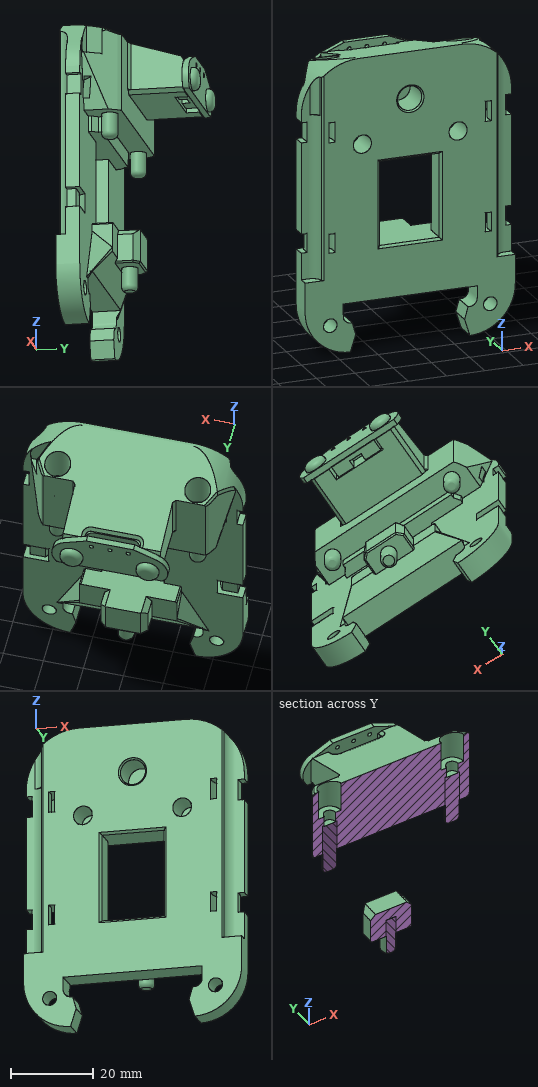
import cadquery as cq

import math

EPS = 1.0
BIG = 100.0

width = 55.0
height = 75.87
plate_thickness = 6.0
half_width = width / 2
top_corner_radius = 14.0
foot_radius = 11.9

gap_half_width = 17.5
gap_top_z = 12.67
gap_relief_radius = 2.0
hook_inner_x = 15.1
hook_relief_z = 7.57
hook_nose = (14.2, 4.4)
hook_hole_diameter = 3.5
hook_hole_x = 20.9

window_half_width = 7.8
window_bottom_z = 26.4
window_top_z = 48.2
window_chamfer = 0.6

groove_depth = 2.5
groove_bottom_z = 19.5
groove_floor_x = 25.4
groove_corner = (23.0, 0.35)
groove_mouth_x = 22.6

relief_centre = (-25.0, 0.6)
relief_radius = 1.9
relief_outer_x = -25.2
relief_inner_y = 1.0
relief_bottom_z = 62.0

tie_bands = [(26.4, 31.3), (55.0, 60.2)]
tie_floor_x = 25.95
tie_centre = (26.5, 1.5)
tie_inner_radius = 5.5
tie_outer_radius = 7.0
tie_open_y = 4.8

block_back_y = 14.9
block_bottom_z = 52.1
block_back_half_width = 20.3
block_side_corner = (21.0, 14.1)
block_root_x = 25.6
roof_start_y = 0.9
roof_slope = 0.308
flank_top = (25.6, 67.3)
flank_bottom = (22.2, 52.1)
flank_edge_chamfer = 0.5

arm_half_width = 12.2
arm_end_y = 28.72
arm_bottom_z = 58.6
arm_bottom_chamfer = 1.0
arm_tip_chamfer = 0.6
arm_tip_steepness = 2.0
arm_root_chamfer = 0.7
pocket_half_width = 6.85
pocket_floor_y = 26.05
pocket_corner_radius = 2.0
pocket_chamfer = 0.8

recess_inner = (20.5, 6.2)
recess_outer = (22.4, 10.6)
recess_floor_z = 66.0

centre_hole_diameter = 6.3
centre_hole_z = 63.6
centre_hole_depth = 8.0
centre_hole_chamfer = 0.4
side_hole_diameter = 4.7
side_hole_x = 12.5
side_hole_z = 53.5
side_hole_depth = 8.0

pad_half_width = 17.0
pad_inset = 1.1
pad_bevel_start = 0.8
pad_bevel_end = 2.3
pad_rise = 3.3

boss_half_width = 5.9
boss_back_y = 16.4
boss_top_z = window_bottom_z
boss_bottom_z = 17.9
boss_side_chamfer = 1.5
boss_top_chamfer = 1.4
boss_bottom_chamfer = 0.4
wing_half_width = 12.2
wing_top_chamfer = 0.4
wing_back_y = 11.0
wing_bottom_z = 19.0
wing_foot_z = 10.9
wing_foot_x = 19.0
wing_crease_back_z = 20.0
wing_crease_front_z = 24.4

pin_diameter = 4.0
upper_pin_x = 17.5
upper_pin_y = 11.45
upper_pin_bottom_z = 46.0
upper_pin_top_z = 61.0
upper_pin_tip = (1.0, 1.4)
lower_pin_y = 12.9
lower_pin_bottom_z = 12.1
lower_pin_top_z = 23.0
lower_pin_tip = (0.6, 1.4)
access_hole_diameter = 3.2
counterbore_diameter = 6.3
counterbore_floor_z = 64.0

board_thickness = 1.6
board_top_z = 69.1
board_bottom_z = 58.9
board_top_half_width = 5.9
board_end_radius = 5.0
board_end_start_angle = math.radians(67)
board_screw_x = 9.5
board_screw_z = 62.2
board_pin_hole_diameter = 1.0
board_pin_hole_pitch = 4.6
board_pin_hole_z = 67.2
screw_diameter = 3.0
screw_length = 8.0
screw_head_diameter = 5.7
screw_head_height = 1.65
screw_head_rim = 0.4
screw_head_flat_radius = 1.45
connector_half_width = 6.2
connector_front_y = 25.5
connector_bottom_z = 59.5
connector_top_z = 64.3
connector_slot_half_width = 1.65
connector_slot_y = 27.4
connector_clearance = 0.65


def box(x0, x1, y0, y1, z0, z1):
    return cq.Workplane("XY").box(x1 - x0, y1 - y0, z1 - z0, centered=False).translate((x0, y0, z0))


def both_sides(shape):
    """The shape together with its mirror image across X = 0."""
    return shape.union(shape.mirror("YZ"))


def prism_y(points, y0, y1):
    """Polygon of (x, z) points extruded along Y."""
    return cq.Workplane("XZ", origin=(0, y0, 0)).polyline(points).close().extrude(y0 - y1)


def prism_x(points, x0, x1):
    """Polygon of (y, z) points extruded along X."""
    return cq.Workplane("YZ", origin=(x0, 0, 0)).polyline(points).close().extrude(x1 - x0)


def prism_z(points, z0, z1):
    """Polygon of (x, y) points extruded along Z."""
    return cq.Workplane("XY", origin=(0, 0, z0)).polyline(points).close().extrude(z1 - z0)


def rod_y(x, z, diameter, y0, y1):
    return cq.Workplane("XZ", origin=(x, y0, z)).circle(diameter / 2).extrude(y0 - y1)


def rod_z(x, y, diameter, z0, z1):
    return cq.Workplane("XY", origin=(x, y, z0)).circle(diameter / 2).extrude(z1 - z0)


def mirrored_outline(right_half):
    """Closed polygon from its right half, listed from one end of the axis to the other."""
    return right_half + [(-x, other) for x, other in reversed(right_half)]


def polyhedron(faces):
    wires = [cq.Wire.makePolygon([cq.Vector(*p) for p in face], close=True) for face in faces]
    shell = cq.Shell.makeShell([cq.Face.makeFromWires(wire) for wire in wires])
    return cq.Workplane(cq.Solid.makeSolid(shell).fix())


def roof_z(y):
    return height - roof_slope * (y - roof_start_y)


def outer_outline(depth):
    """Rounded outline of plate and hooks, extruded from the front face."""
    top_x = half_width - top_corner_radius
    top_z = height - top_corner_radius
    foot_x = half_width - foot_radius
    diagonal = math.sqrt(0.5)
    top_mid = (top_x + top_corner_radius * diagonal, top_z + top_corner_radius * diagonal)
    foot_mid = (foot_x + foot_radius * diagonal, foot_radius * (1 - diagonal))
    half = (
        cq.Workplane("XZ")
        .moveTo(0, height)
        .lineTo(top_x, height)
        .threePointArc(top_mid, (half_width, top_z))
        .lineTo(half_width, foot_radius)
        .threePointArc(foot_mid, (foot_x, 0))
        .lineTo(0, 0)
        .close()
        .extrude(-depth)
    )
    return both_sides(half)


def hook_gap():
    """Opening between the hooks, with a relief beside each hook nose."""
    relief_x = gap_half_width - gap_relief_radius
    relief_mid = gap_relief_radius * math.sqrt(0.5)
    relief_top_z = hook_relief_z + gap_relief_radius
    half = (
        cq.Workplane("XZ", origin=(0, -EPS, 0))
        .moveTo(0, gap_top_z)
        .lineTo(gap_half_width, gap_top_z)
        .lineTo(gap_half_width, relief_top_z)
        .threePointArc((relief_x + relief_mid, relief_top_z - relief_mid), (relief_x, hook_relief_z))
        .lineTo(hook_inner_x, hook_relief_z)
        .lineTo(*hook_nose)
        .lineTo(half_width - foot_radius, 0)
        .lineTo(half_width - foot_radius, -EPS)
        .lineTo(0, -EPS)
        .close()
        .extrude(-BIG)
    )
    return both_sides(half)


def cable_groove():
    """Open groove at the +X edge of the front face, rounded at its inner corner."""
    radius = groove_depth - groove_corner[1]
    mid = radius * math.sqrt(0.5)
    return (
        cq.Workplane("XY", origin=(0, 0, groove_bottom_z))
        .moveTo(half_width + EPS, groove_depth)
        .lineTo(groove_floor_x, groove_depth)
        .threePointArc((groove_floor_x - mid, groove_corner[1] + mid), groove_corner)
        .lineTo(groove_mouth_x, 0)
        .lineTo(groove_mouth_x, -EPS)
        .lineTo(half_width + EPS, -EPS)
        .close()
        .extrude(BIG)
    )


def tie_channels():
    """Curved cable tie slots at +X with the notches that they wrap around."""
    cx, cy = tie_centre
    tools = None
    for z0, z1 in tie_bands:
        outer = rod_z(cx, cy, 2 * tie_outer_radius, z0, z1)
        inner = rod_z(cx, cy, 2 * tie_inner_radius, z0, z1)
        notch = box(tie_floor_x, half_width + EPS, -EPS, plate_thickness + EPS, z0, z1)
        tool = outer.cut(inner).union(notch)
        tools = tool if tools is None else tools.union(tool)
    return tools


def tie_opening():
    """Opening from the lower +X notch into its curved slot."""
    z0, z1 = tie_bands[0]
    reach = rod_z(*tie_centre, 2 * tie_outer_radius, z0, z1)
    return reach.intersect(box(0, half_width, tie_open_y, plate_thickness, z0, z1))


def groove_relief():
    """Shallow relief at the upper end of the groove on the -X side."""
    x, y = relief_centre
    relief = rod_z(x, y, 2 * relief_radius, relief_bottom_z, height)
    return relief.intersect(box(relief_outer_x, 0, relief_inner_y, BIG, 0, BIG))


def upper_block():
    """Rounded block behind the plate with slanted sides."""
    right = [
        (half_width, 0),
        (half_width, plate_thickness),
        (block_root_x, plate_thickness),
        block_side_corner,
        (block_back_half_width, block_back_y),
    ]
    plan = prism_z(mirrored_outline(right), block_bottom_z, height)
    flank_middle = (block_root_x + block_side_corner[0]) / 2
    flank_slope = (flank_top[0] - flank_bottom[0]) / (flank_top[1] - flank_bottom[1])
    flank_high = (flank_top[0] + flank_slope * EPS, flank_top[1] + EPS)
    flank_low = (flank_bottom[0] - flank_slope * EPS, flank_bottom[1] - EPS)
    under_flank = prism_y(
        [flank_high, flank_low, (half_width + EPS, flank_low[1]), (half_width + EPS, flank_high[1])],
        plate_thickness,
        block_back_y + EPS,
    )
    block = outer_outline(block_back_y).intersect(plan).cut(both_sides(under_flank)).cut(roof_cutter())
    for side in (-1, 1):
        near_flank = cq.selectors.NearestToPointSelector(
            (side * flank_middle, (plate_thickness + block_side_corner[1]) / 2, flank_top[1])
        )
        rim = cq.selectors.BoxSelector(
            (side * block_side_corner[0], plate_thickness + EPS, flank_top[1]),
            (side * block_root_x, block_back_y, height),
        )
        block = block.faces(near_flank).edges(rim).chamfer(flank_edge_chamfer)
    return block


def arm():
    """Arm with bevelled lower edges and a flared root."""
    root = block_back_y + arm_root_chamfer
    body = box(-arm_half_width, arm_half_width, 0, arm_end_y, arm_bottom_z, height)
    body = body.edges("|Y and <Z").chamfer(arm_bottom_chamfer)
    flare = prism_z(
        mirrored_outline(
            [
                (arm_half_width + arm_root_chamfer, plate_thickness),
                (arm_half_width + arm_root_chamfer, block_back_y),
                (arm_half_width, root),
            ]
        ),
        arm_bottom_z + arm_bottom_chamfer,
        height,
    )
    return body.union(flare)


def roof_cutter():
    """Space above the sloping roof, with the bevel along the end of the arm."""
    tip_y = arm_end_y - arm_tip_chamfer
    tip_z = roof_z(tip_y)
    profile = [
        (roof_start_y, height),
        (tip_y, tip_z),
        (arm_end_y + EPS, tip_z - arm_tip_steepness * (arm_tip_chamfer + EPS)),
        (arm_end_y + EPS, height + EPS),
        (roof_start_y, height + EPS),
    ]
    return prism_x(profile, -BIG, BIG)


def pocket_profile(plane, grow, scale):
    """Pocket outline in the arm end, enlarged by `grow`, with its Y sizes stretched by `scale`."""
    x1 = pocket_half_width + grow
    x0 = x1 - pocket_corner_radius
    floor = -grow * scale
    curve_end = (pocket_corner_radius - grow) * scale
    end = (arm_end_y + EPS - pocket_floor_y) * scale
    mid = pocket_corner_radius * math.sqrt(0.5)
    curve_mid = (x0 + mid, (pocket_corner_radius - grow - mid) * scale)
    return (
        plane.moveTo(-x0, floor)
        .lineTo(x0, floor)
        .threePointArc(curve_mid, (x1, curve_end))
        .lineTo(x1, end)
        .lineTo(-x1, end)
        .lineTo(-x1, curve_end)
        .threePointArc((-curve_mid[0], curve_mid[1]), (-x0, floor))
        .close()
    )


def arm_pocket():
    """Vertical pocket in the arm end with a bevelled upper rim and room for the connector."""
    upright = cq.Workplane("XY", origin=(0, pocket_floor_y, arm_bottom_z - EPS))
    pocket = pocket_profile(upright, 0, 1).extrude(BIG)
    stretch = math.hypot(1, roof_slope)
    rim_plane = cq.Plane(
        origin=(0, pocket_floor_y, roof_z(pocket_floor_y)),
        xDir=(1, 0, 0),
        normal=(0, roof_slope, 1),
    )
    rim = pocket_profile(cq.Workplane(rim_plane), pocket_chamfer, stretch).extrude(-pocket_chamfer, taper=45)
    room = box(
        -pocket_half_width,
        pocket_half_width,
        connector_front_y,
        arm_end_y + EPS,
        arm_bottom_z - EPS,
        connector_top_z + connector_clearance,
    )
    return pocket.union(rim).union(room)


def corner_recess():
    """Flat-floored recess open to the roof and to the +X flank."""
    x_out = half_width + EPS
    profile = [recess_inner, recess_outer, (x_out, recess_outer[1]), (x_out, recess_inner[1])]
    return prism_z(profile, recess_floor_z, height)


def rear_pad():
    """Bevelled pad behind the side holes, reaching down to the window."""
    inner_x = pad_half_width - pad_inset
    right = [
        (pad_half_width, 0),
        (pad_half_width, plate_thickness + pad_bevel_start),
        (inner_x, plate_thickness + pad_bevel_end),
        (inner_x, plate_thickness + pad_rise),
    ]
    return prism_z(mirrored_outline(right), window_top_z, block_bottom_z)


def lower_boss():
    """Middle of the lower block, around the lower pin."""
    boss = box(-boss_half_width, boss_half_width, 0, boss_back_y, boss_bottom_z, boss_top_z)
    boss = boss.edges("|Y and >Z").chamfer(boss_top_chamfer)
    boss = boss.edges("|Z and >Y").chamfer(boss_side_chamfer)
    return boss.faces("<Z").edges().chamfer(boss_bottom_chamfer)


def lower_wings():
    """Wings beside the boss: a straight middle and a gusset spreading to each hook."""
    front = plate_thickness
    x0 = wing_half_width
    middle = prism_x(
        [
            (0, boss_top_z),
            (wing_back_y, boss_top_z),
            (wing_back_y, wing_bottom_z),
            (front, wing_foot_z),
            (0, wing_foot_z),
        ],
        -x0,
        x0,
    )
    middle = middle.edges("|Y and >Z").chamfer(wing_top_chamfer)
    crease_back = (x0, wing_back_y, wing_crease_back_z)
    crease_front = (x0, front, wing_crease_front_z)
    foot_out = (wing_foot_x, front, wing_foot_z)
    bottom_back = (x0, wing_back_y, wing_bottom_z)
    foot_in = (x0, front, wing_foot_z)
    gusset = polyhedron(
        [
            [crease_back, crease_front, foot_out],
            [crease_back, foot_out, bottom_back],
            [bottom_back, foot_out, foot_in],
            [crease_front, foot_in, foot_out],
            [crease_front, crease_back, bottom_back, foot_in],
        ]
    )
    return middle.union(both_sides(gusset))


def window():
    return box(
        -window_half_width,
        window_half_width,
        -EPS,
        plate_thickness + EPS,
        window_bottom_z,
        window_top_z,
    )


def window_bevel():
    """Bevel around the front edge of the window."""
    grown = 2 * window_chamfer
    return (
        cq.Workplane("XZ", origin=(0, 0, (window_bottom_z + window_top_z) / 2))
        .rect(2 * window_half_width + grown, window_top_z - window_bottom_z + grown)
        .extrude(-window_chamfer, taper=45)
    )


def front_holes():
    """Blind holes in the front face; the middle one has a countersunk edge."""
    middle = rod_y(0, centre_hole_z, centre_hole_diameter, -EPS, centre_hole_depth)
    bevel = (
        cq.Workplane("XZ", origin=(0, 0, centre_hole_z))
        .circle(centre_hole_diameter / 2 + centre_hole_chamfer)
        .extrude(-centre_hole_chamfer, taper=45)
    )
    side = rod_y(side_hole_x, side_hole_z, side_hole_diameter, -EPS, side_hole_depth)
    return middle.union(bevel).union(both_sides(side))


def upper_pin_bore():
    """Blind bore for the +X upper pin, with an access hole and counterbore above it."""
    x, y = upper_pin_x, upper_pin_y
    bore = rod_z(x, y, pin_diameter, block_bottom_z - EPS, upper_pin_top_z)
    access = rod_z(x, y, access_hole_diameter, upper_pin_top_z, height)
    counterbore = rod_z(x, y, counterbore_diameter, counterbore_floor_z, height)
    return bore.union(access).union(counterbore)


def make_housing():
    plate = outer_outline(plate_thickness)
    body = plate.union(upper_block()).union(arm()).cut(roof_cutter())
    body = body.union(rear_pad()).union(lower_wings()).union(lower_boss())
    body = body.cut(hook_gap()).cut(window()).cut(window_bevel()).cut(front_holes())
    for tool in (cable_groove(), tie_channels(), tie_opening(), upper_pin_bore()):
        body = body.cut(both_sides(tool))
    hook_hole = rod_y(hook_hole_x, hook_relief_z, hook_hole_diameter, -EPS, plate_thickness + EPS)
    body = body.cut(both_sides(hook_hole)).cut(arm_pocket()).cut(corner_recess()).cut(groove_relief())
    body = body.cut(rod_z(0, lower_pin_y, pin_diameter, boss_bottom_z - EPS, lower_pin_top_z))
    screw_hole_end = arm_end_y + board_thickness - screw_length
    for x in (-board_screw_x, board_screw_x):
        body = body.cut(rod_y(x, board_screw_z, screw_diameter, screw_hole_end, arm_end_y + EPS))
    return body


def make_pin(x, y, bottom_z, top_z, tip):
    """Upright pin with a rounded lower tip."""
    tip_step, tip_height = tip
    radius = pin_diameter / 2
    inset = 1 - math.sqrt(0.5)
    tip_mid = (radius - inset * tip_step, bottom_z + inset * tip_height)
    pin = (
        cq.Workplane("XZ")
        .moveTo(0, bottom_z)
        .lineTo(radius - tip_step, bottom_z)
        .threePointArc(tip_mid, (radius, bottom_z + tip_height))
        .lineTo(radius, top_z)
        .lineTo(0, top_z)
        .close()
        .revolve(360, (0, 0, 0), (0, 1, 0))
    )
    return pin.translate((x, y, 0))


def make_board():
    """Circuit board with rounded ends, screw holes and three pin holes."""
    r = board_end_radius
    end_z = board_bottom_z - board_screw_z
    start = board_end_start_angle
    half = (
        cq.Workplane("XZ", origin=(0, arm_end_y, 0))
        .moveTo(0, board_top_z)
        .lineTo(board_top_half_width, board_top_z)
        .lineTo(board_screw_x + r * math.cos(start), board_screw_z + r * math.sin(start))
        .threePointArc(
            (board_screw_x + r, board_screw_z),
            (board_screw_x + math.sqrt(r**2 - end_z**2), board_bottom_z),
        )
        .lineTo(0, board_bottom_z)
        .close()
        .extrude(-board_thickness)
    )
    board = both_sides(half)
    back = arm_end_y + board_thickness
    for x in (-board_screw_x, board_screw_x):
        board = board.cut(rod_y(x, board_screw_z, screw_diameter, arm_end_y, back))
    for x in (-board_pin_hole_pitch, 0, board_pin_hole_pitch):
        board = board.cut(rod_y(x, board_pin_hole_z, board_pin_hole_diameter, arm_end_y, back))
    return board


def make_board_screw(x):
    """Domed screw lying along Y, its head on the back of the board."""
    seat = arm_end_y + board_thickness
    head_radius = screw_head_diameter / 2
    bulge = math.sqrt(0.5)
    dome_mid = (
        screw_head_flat_radius + bulge * (head_radius - screw_head_flat_radius),
        screw_head_rim + bulge * (screw_head_height - screw_head_rim),
    )
    screw = (
        cq.Workplane("XY")
        .moveTo(0, -screw_length)
        .lineTo(screw_diameter / 2, -screw_length)
        .lineTo(screw_diameter / 2, 0)
        .lineTo(head_radius, 0)
        .lineTo(head_radius, screw_head_rim)
        .threePointArc(dome_mid, (screw_head_flat_radius, screw_head_height))
        .lineTo(0, screw_head_height)
        .close()
        .revolve(360, (0, 0, 0), (0, 1, 0))
    )
    return screw.translate((x, seat, board_screw_z))


def make_connector():
    """Connector on the front of the board, with an upright slot in its middle."""
    z0, z1 = connector_bottom_z, connector_top_z
    block = box(-connector_half_width, connector_half_width, connector_front_y, arm_end_y, z0, z1)
    half_slot = connector_slot_half_width
    return block.cut(box(-half_slot, half_slot, connector_front_y - EPS, connector_slot_y, z0, z1))


housing = make_housing()
board = make_board()
connector = make_connector()
board_screws = [make_board_screw(x) for x in (-board_screw_x, board_screw_x)]
upper_pins = [
    make_pin(x, upper_pin_y, upper_pin_bottom_z, upper_pin_top_z, upper_pin_tip)
    for x in (-upper_pin_x, upper_pin_x)
]
lower_pin = make_pin(0, lower_pin_y, lower_pin_bottom_z, lower_pin_top_z, lower_pin_tip)

result = cq.Compound.makeCompound(
    [
        housing.val(),
        board.val(),
        connector.val(),
        *[screw.val() for screw in board_screws],
        *[pin.val() for pin in upper_pins],
        lower_pin.val(),
    ]
)